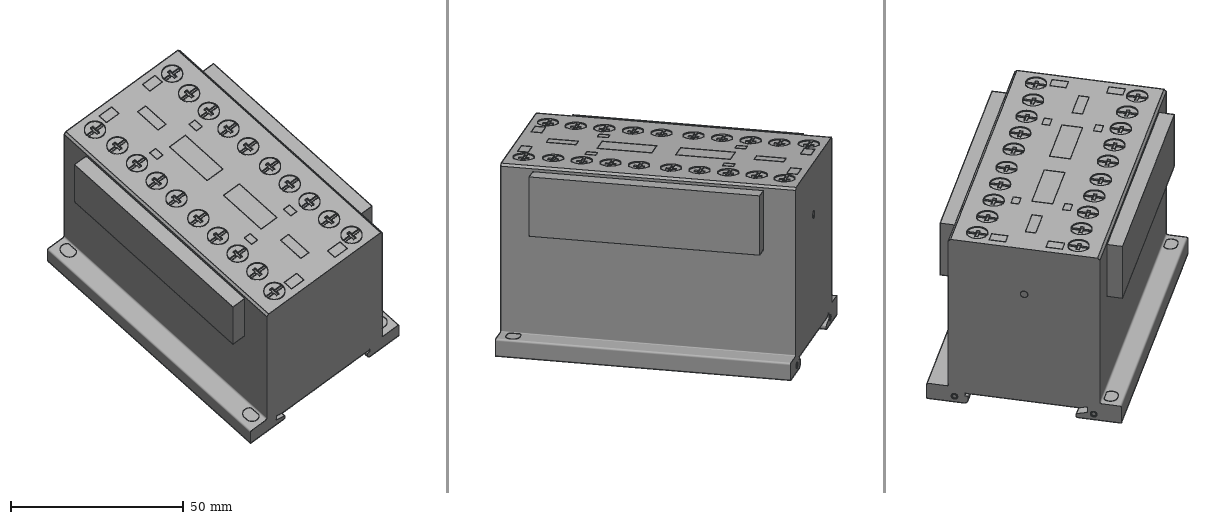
import cadquery as cq

length = 88.0
overall_width = 58.0
height = 57.2
body_width = 45.1
underside_z = 3.5
front_foot_height = 6.0
rear_foot_height = 5.4

body_top_chamfer = 0.7
edge_round = 0.6
rear_root_round = 0.3
front_foot_bottom_round = 0.3
rear_foot_bottom_round = 0.4

rear_hook_root_y = 17.6
rear_hook_tip_y = 16.6
rear_hook_top_z = 2.55
rear_hook_round = 1.3
rear_hook_top_round = 0.35
front_hook_tip_y = -15.4
front_hook_tip_z = 1.3
front_hook_tip_round = 0.6
notch_mouth_y = -16.4
notch_end_y = -18.8
notch_floor_z = 2.3
notch_roof_z = 4.3
notch_round = 0.35

block_length = 68.7
block_depth = 4.6
block_height = 18.3
block_drop = 1.6

screw_diameter = 6.2
screw_recess = 0.35
drive_slot_width = 0.8
drive_cross_width = 1.0
drive_cross_length = 3.0
drive_slot_depth = 0.4
drive_cross_depth = 0.8
inner_screw_x = 4.75
screw_pitch = 8.5
screws_per_group = 4
screw_row_y = 14.0
corner_screw_x = 38.9
corner_screw_y = 15.05

mark_depth = 0.1
end_label = (40.1, 8.45, 3.2, 4.8)
small_label = (20.5, 7.7, 3.2, 2.3)
side_label = (31.0, 0.0, 8.8, 3.1)
main_label = (11.7, 0.0, 16.3, 6.2)

oval_x = 39.6
oval_y = 24.8
oval_width = 4.1
front_oval_length = 5.1
rear_oval_length = 5.5

centre_hole_diameter = 2.2
centre_hole_z = 41.1
centre_hole_depth = 0.1
foot_hole_y = 20.7
foot_hole_z = 1.9
foot_hole_diameter = 1.3
foot_hole_depth = 0.2
foot_counterbore_diameter = 1.9
foot_counterbore_depth = 0.1

half_length = length / 2
half_width = overall_width / 2
wall_y = body_width / 2


def lengthwise_edge(solid, y, z):
    """Workplane holding the edge along X that passes closest to (y, z)."""
    return solid.edges("|X").edges(cq.selectors.NearestToPointSelector((0, y, z)))


def make_shell():
    """Constant section along X: body, two feet and the rail hooks under them."""
    outline = [
        (-half_width, 0),
        (front_hook_tip_y, 0),
        (front_hook_tip_y, front_hook_tip_z),
        (notch_end_y, notch_floor_z),
        (notch_end_y, notch_roof_z),
        (notch_mouth_y, underside_z),
        (rear_hook_root_y, underside_z),
        (rear_hook_root_y, rear_hook_top_z),
        (rear_hook_tip_y, rear_hook_top_z),
        (rear_hook_tip_y, 0),
        (half_width, 0),
        (half_width, rear_foot_height),
        (wall_y, rear_foot_height),
        (wall_y, height),
        (-wall_y, height),
        (-wall_y, front_foot_height),
        (-half_width, front_foot_height),
    ]
    shell = cq.Workplane("YZ").polyline(outline).close().extrude(half_length, both=True)
    for y in (-wall_y, wall_y):
        shell = lengthwise_edge(shell, y, height).chamfer(body_top_chamfer)
    rounds = [
        (-wall_y, front_foot_height, edge_round),
        (-half_width, front_foot_height, edge_round),
        (wall_y, rear_foot_height, rear_root_round),
        (half_width, rear_foot_height, edge_round),
        (-half_width, 0, front_foot_bottom_round),
        (half_width, 0, rear_foot_bottom_round),
        (rear_hook_tip_y, 0, rear_hook_round),
        (rear_hook_tip_y, rear_hook_top_z, rear_hook_top_round),
        (front_hook_tip_y, 0, front_hook_tip_round),
        (front_hook_tip_y, front_hook_tip_z, front_hook_tip_round),
        (notch_end_y, notch_floor_z, notch_round),
        (notch_end_y, notch_roof_z, notch_round),
    ]
    for y, z, radius in rounds:
        shell = lengthwise_edge(shell, y, z).fillet(radius)
    return shell


def screw_places():
    """Two rows of inner screws in two groups each, plus one screw near each corner."""
    inner_xs = [inner_screw_x + i * screw_pitch for i in range(screws_per_group)]
    quadrant = [(x, screw_row_y) for x in inner_xs] + [(corner_screw_x, corner_screw_y)]
    return [(sx * x, sy * y) for x, y in quadrant for sx in (-1, 1) for sy in (-1, 1)]


def make_screw_cutters():
    """Round recesses down to the screw heads, each with a driver slot and a deeper short cross slot."""
    places = screw_places()
    head_z = height - screw_recess

    def plane_at(z):
        return cq.Workplane(origin=(0, 0, z)).pushPoints(places)

    slot_plane = plane_at(head_z - drive_slot_depth)
    discs = slot_plane.circle(screw_diameter / 2).extrude(drive_slot_depth)
    slots = slot_plane.rect(drive_slot_width, screw_diameter).extrude(drive_slot_depth).intersect(discs)
    cross_plane = plane_at(head_z - drive_cross_depth)
    crosses = cross_plane.rect(drive_cross_length, drive_cross_width).extrude(drive_cross_depth)
    heads = plane_at(head_z).circle(screw_diameter / 2).extrude(screw_recess)
    return heads.union(slots).union(crosses)


def make_label_cutter(label):
    """Shallow rectangles of one kind, mirrored to both sides of the centre lines."""
    x, y, size_x, size_y = label
    places = {(sx * x, sy * y) for sx in (-1, 1) for sy in (-1, 1)}
    plane = cq.Workplane(origin=(0, 0, height - mark_depth)).pushPoints(sorted(places))
    return plane.rect(size_x, size_y).extrude(mark_depth)


def make_foot_oval(x, side, foot_height, oval_length, angle, inner_y):
    """Shallow oval in a foot's upper face, ending where the rounding at the foot of the body wall begins."""
    plane = cq.Workplane(origin=(x, side * oval_y, foot_height - mark_depth))
    oval = plane.slot2D(oval_length, oval_width, angle).extrude(mark_depth)
    ledge_depth = half_width - inner_y
    ledge = cq.Workplane().box(length, ledge_depth, height)
    return oval.intersect(ledge.translate((0, side * (inner_y + ledge_depth / 2), 0)))


def make_end_hole(y, z, diameter, depth):
    """Blind hole from the -X end face."""
    return cq.Workplane("YZ", origin=(-half_length, y, z)).circle(diameter / 2).extrude(depth)


def make_housing():
    """Shell with its screws, label fields, foot ovals and end-face holes cut in."""
    housing = make_shell().cut(make_screw_cutters())
    for label in (end_label, small_label, side_label, main_label):
        housing = housing.cut(make_label_cutter(label))

    front_ledge_y = wall_y + edge_round
    rear_ledge_y = wall_y + rear_root_round
    for x in (-oval_x, oval_x):
        housing = housing.cut(make_foot_oval(x, -1, front_foot_height, front_oval_length, 0, front_ledge_y))
    housing = housing.cut(make_foot_oval(oval_x, 1, rear_foot_height, rear_oval_length, 90, rear_ledge_y))

    housing = housing.cut(make_end_hole(0, centre_hole_z, centre_hole_diameter, centre_hole_depth))
    for y in (-foot_hole_y, foot_hole_y):
        counterbore = make_end_hole(y, foot_hole_z, foot_counterbore_diameter, foot_counterbore_depth)
        hole = make_end_hole(y, foot_hole_z, foot_hole_diameter, foot_hole_depth)
        housing = housing.cut(counterbore).cut(hole)
    return housing


def make_terminal_block(side):
    """Plain block lying against a long wall; side is -1 for front and 1 for rear."""
    block = cq.Workplane().box(block_length, block_depth, block_height)
    centre_y = side * (wall_y + block_depth / 2)
    centre_z = height - block_drop - block_height / 2
    return block.translate((0, centre_y, centre_z))


housing = make_housing()
terminal_blocks = [make_terminal_block(side) for side in (-1, 1)]

result = cq.Compound.makeCompound([housing.val(), *[block.val() for block in terminal_blocks]])